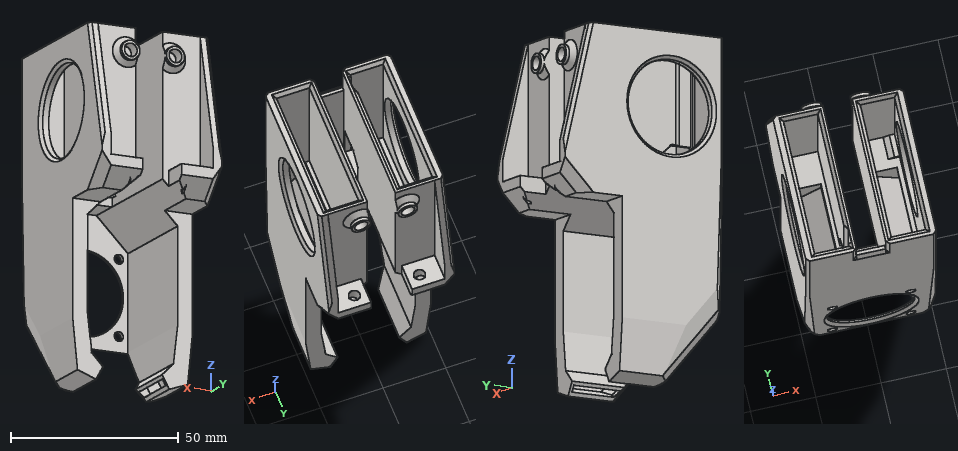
import cadquery as cq
import math


half_width = 20.0
body_depth = 55.0
body_height = 107.33
top_depth = 46.2
lean_end = 36.4
belly_bottom = 52.0
belly_chamfer = 5.6
lower_depth = 35.2
front_wall = 2.2

edge_chamfer = 1.0
belly_side_chamfer = 3.0
corner_taper_start = 38.3
corner_taper_end = 82.0
corner_taper_chamfer = 2.5

slope_start = 85.6
slope_angle = 49.0
slope_flank_depth = 7.6
slope_chamfer_depth = 2.6
slope_flank_half = 18.5
slope_flat_half = 15.8

slot_half = 4.5
channel_inner = 6.5
channel_outer = 17.0
channel_back = 44.2
channel_floor = 43.0
rim_chamfer = 1.1

notch_depth = 8.8
notch_chamfer = 1.1
web_back = 12.2
web_thickness = 2.8

side_hole_diameter = 29.0
left_hole_y = 18.1
right_hole_y = 27.5
side_hole_depth = 22.8
fan_hole_diameter = 27.0
fan_hole_depth = 70.4
hole_chamfer = 1.0
fan_screw_diameter = 2.9
fan_screw_spacing = 24.0

plenum_half = 15.0
plenum_front_wall = 1.7
duct_wall = 1.5
duct_inner_wall = 1.2
duct_back_wall = 1.0
duct_entry_inner = 7.8
duct_entry_outer = 15.5
duct_entry_lip = 1.0
duct_ramp_start = 47.0
finger_taper_start = 89.1
finger_outer = (18.4, 105.1)
finger_tip = (12.2, body_height)
finger_nose = (9.8, 103.1)
finger_knee = (13.6, 99.2)
finger_inner_start = 87.0
outlet_start = 0.25
outlet_end = 0.7
tip_bevel_start = 13.9
tip_bevel_end = 9.0
tip_bevel_rise = 1.76
tip_bevel_from = 15.0

recess_depth = 1.0
recess_front = 3.0
recess_flat_end = 7.1
recess_end = 8.9
window_top = 31.1
window_top_back = 10.1
window_back = 14.2
window_side_top = 34.8

pad_start = 13.5
pad_flat_start = 15.4
pad_height = 0.95
pad_front = 37.2

ear_inner = 6.5
ear_hole_diameter = 3.5
ear_hole_x = 10.4
ear_hole_y = 51.0
ear_hole_top_to_seat = 2.0
ear_seat_edge = 9.3
ear_seat_slope = 0.5
boss_diameter = 6.0
boss_hole_diameter = 4.2
boss_x = 7.45
boss_depth = 7.9
boss_length = 2.8
boss_hole_length = 4.0
boss_flare = 1.7

far = 200.0


def side_prism(points, x_start, x_end):
    """Prism along X from (y, depth) points."""
    outline = [(y, -depth) for y, depth in points]
    return cq.Workplane("YZ", origin=(x_start, 0, 0)).polyline(outline).close().extrude(x_end - x_start)


def front_prism(points, y_start, y_end):
    """Prism along Y from (x, depth) points."""
    outline = [(x, -depth) for x, depth in points]
    return cq.Workplane("XZ", origin=(0, y_start, 0)).polyline(outline).close().extrude(y_start - y_end)


def box(x_range, y_range, depth_range):
    x_size = x_range[1] - x_range[0]
    y_size = y_range[1] - y_range[0]
    z_size = depth_range[1] - depth_range[0]
    corner = (x_range[0], y_range[0], -depth_range[1])
    return cq.Workplane("XY", origin=corner).box(x_size, y_size, z_size, centered=False)


def cylinder(plane, origin, diameter, length):
    return cq.Workplane(plane, origin=origin).circle(diameter / 2).extrude(length)


def both_sides(right_half):
    return right_half.union(right_half.mirror("YZ"))


def face_plane(y, depth, out_y, out_z):
    """Plane across a sloped face: local x is X and local y is the outward direction (out_y, out_z)."""
    return cq.Plane(origin=(0, y, -depth), xDir=(1, 0, 0), normal=(0, -out_z, out_y))


def bevelled_slab(plane, half_profile):
    """Long bar along a sloped face; half_profile lists (x, height) from the flank to the face."""
    right = [(half_profile[0][0], -far)] + half_profile
    left = [(-x, height) for x, height in reversed(right)]
    return cq.Workplane(plane).polyline(right + left).close().extrude(far, both=True)


slope_rad = math.radians(slope_angle)
slope_plane = face_plane(0, slope_start, -math.sin(slope_rad), -math.cos(slope_rad))
slope_profile = [
    (half_width, -slope_flank_depth),
    (slope_flank_half, -slope_chamfer_depth),
    (slope_flat_half, 0),
]


def edge_profile(chamfer):
    return [(half_width, -chamfer), (half_width - chamfer, 0)]


def upper_body():
    """Deep upper section, chamfered along its leaning back edges and its rear belly edge."""
    belly_edge = body_depth - belly_chamfer
    outline = [
        (0, 0),
        (top_depth, 0),
        (body_depth, lean_end),
        (body_depth, belly_bottom - belly_chamfer),
        (belly_edge, belly_bottom),
        (0, belly_bottom),
    ]
    lean = face_plane(top_depth, 0, lean_end, body_depth - top_depth)
    belly = face_plane(belly_edge, belly_bottom, 1, -1)
    body = side_prism(outline, -half_width, half_width)
    body = body.intersect(bevelled_slab(lean, edge_profile(edge_chamfer)))
    return body.intersect(bevelled_slab(belly, edge_profile(belly_side_chamfer)))


def lower_body():
    """Lower section with tapering fingers and a bevelled, sloped underside."""
    right = [
        (half_width, belly_bottom),
        (half_width, finger_taper_start),
        finger_outer,
        finger_tip,
    ]
    left = [(-x, depth) for x, depth in reversed(right)]
    body = front_prism(right + left, 0, lower_depth)
    return body.intersect(bevelled_slab(slope_plane, slope_profile))


def corner_triangle(depth, chamfer):
    corner = [(half_width, 0), (half_width - chamfer, 0), (half_width, chamfer)]
    points = [cq.Vector(x, y, -depth) for x, y in corner]
    return cq.Wire.makePolygon(points + points[:1])


def front_corner_cuts():
    """Constant chamfer on the upper front corners, widening towards the bottom."""
    widening = (corner_taper_chamfer - edge_chamfer) / (corner_taper_end - corner_taper_start)
    bottom_chamfer = edge_chamfer + widening * (body_height - corner_taper_start)
    top = corner_triangle(0, edge_chamfer)
    middle = corner_triangle(corner_taper_start, edge_chamfer)
    bottom = corner_triangle(body_height, bottom_chamfer)
    upper_cut = cq.Workplane(cq.Solid.makeLoft([top, middle], True))
    lower_cut = cq.Workplane(cq.Solid.makeLoft([middle, bottom], True))
    return both_sides(upper_cut.union(lower_cut))


def plenum():
    """Open space behind the fan hole, between the side ducts and fingers; its roof follows the ramps."""
    roof_edge = channel_floor + web_thickness
    right = [
        (slot_half, roof_edge),
        (plenum_half, roof_edge + plenum_half - slot_half),
        (plenum_half, finger_inner_start),
        finger_knee,
        finger_nose,
        finger_tip,
    ]
    left = [(-x, depth) for x, depth in reversed(right)]
    return front_prism(right + left, plenum_front_wall, body_depth)


def centre_slot():
    """Slot between the channels, leaving the front wall, its notch and the web."""
    slot = box((-slot_half, slot_half), (front_wall, body_depth), (0, channel_floor))
    slot = slot.union(box((-slot_half, slot_half), (web_back, body_depth), (0, belly_bottom)))
    ear_gap = box((-ear_inner, ear_inner), (top_depth, body_depth), (0, belly_bottom))
    notch = box((-slot_half, slot_half), (0, front_wall), (0, notch_depth))
    flare_half = slot_half + notch_chamfer
    floor_outline = [
        (0, notch_depth),
        (notch_chamfer, notch_depth),
        (0, notch_depth + notch_chamfer),
    ]
    side_flare = (
        cq.Workplane("XY")
        .polyline([(slot_half, 0), (flare_half, 0), (slot_half, notch_chamfer)])
        .close()
        .extrude(-notch_depth - notch_chamfer)
    )
    floor_flare = side_prism(floor_outline, -slot_half, slot_half)
    return slot.union(ear_gap).union(notch).union(both_sides(side_flare)).union(floor_flare)


def channels():
    cavity = box((channel_inner, channel_outer), (front_wall, channel_back), (0, channel_floor))
    rim = (
        cq.Workplane("XY")
        .center((channel_inner + channel_outer) / 2, (front_wall + channel_back) / 2)
        .rect(channel_outer - channel_inner + 2 * rim_chamfer, channel_back - front_wall + 2 * rim_chamfer)
        .workplane(offset=-rim_chamfer)
        .rect(channel_outer - channel_inner, channel_back - front_wall)
        .loft(ruled=True)
    )
    return both_sides(cavity.union(rim))


def between(start, end, fraction):
    return tuple(a + (b - a) * fraction for a, b in zip(start, end))


def ducts():
    """Air path from each channel floor, down a 45 degree ramp beside the plenum, to the finger outlet."""
    inner = plenum_half + duct_inner_wall
    outer = half_width - duct_wall
    lip = channel_floor + duct_entry_lip
    outline = [
        (duct_entry_inner, channel_floor),
        (duct_entry_outer, channel_floor),
        (duct_entry_outer, lip),
        (outer, lip + outer - duct_entry_outer),
        (outer, finger_taper_start),
        (finger_outer[0] - duct_wall, finger_outer[1] - duct_wall),
        between(finger_nose, finger_tip, outlet_end),
        between(finger_nose, finger_tip, outlet_start),
        (finger_knee[0] + duct_inner_wall, finger_knee[1] + duct_inner_wall),
        (inner, finger_inner_start),
        (inner, duct_ramp_start + inner - duct_entry_inner),
        (duct_entry_inner, duct_ramp_start),
    ]
    duct = front_prism(outline, front_wall, lower_depth - duct_back_wall)
    inner_slope = [(x - duct_wall, height - duct_wall) for x, height in slope_profile]
    return both_sides(duct.intersect(bevelled_slab(slope_plane, inner_slope)))


def finger_tip_bevels():
    wedge = [(tip_bevel_start, 0), (tip_bevel_end, 0), (tip_bevel_end, -tip_bevel_rise)]
    cut = (
        cq.Workplane(slope_plane)
        .workplane(offset=tip_bevel_from)
        .polyline(wedge)
        .close()
        .extrude(body_depth)
    )
    return both_sides(cut)


def chamfered_hole(plane, origin, diameter, depth):
    """Round opening with a flared outer edge; depth runs along the plane normal."""
    direction = math.copysign(hole_chamfer, depth)
    flare = (
        cq.Workplane(plane, origin=origin)
        .circle(diameter / 2 + hole_chamfer)
        .workplane(offset=direction)
        .circle(diameter / 2)
        .loft()
    )
    return flare.union(cylinder(plane, origin, diameter, depth))


def side_holes():
    """Blower inlets through the outer walls, set nearer the front on the left than on the right."""
    wall = half_width - channel_outer
    left_centre = (-half_width, left_hole_y, -side_hole_depth)
    right_centre = (half_width, right_hole_y, -side_hole_depth)
    left = chamfered_hole("YZ", left_centre, side_hole_diameter, wall)
    return left.union(chamfered_hole("YZ", right_centre, side_hole_diameter, -wall))


def fan_mount():
    holes = chamfered_hole("XZ", (0, 0, -fan_hole_depth), fan_hole_diameter, -front_wall)
    screws = (
        cq.Workplane("XZ", origin=(0, 0, -fan_hole_depth))
        .rect(fan_screw_spacing, fan_screw_spacing, forConstruction=True)
        .vertices()
        .circle(fan_screw_diameter / 2)
        .extrude(-front_wall)
    )
    return holes.union(screws)


def cable_recess():
    """Recess in the channel side of the left inner wall, ending in a window into the centre slot."""
    bottom = -channel_inner + recess_depth
    recess = (
        cq.Workplane("XY")
        .polyline([
            (-channel_inner, recess_front),
            (bottom, recess_front),
            (bottom, recess_flat_end),
            (-channel_inner, recess_end),
        ])
        .close()
        .extrude(-window_top)
    )
    window = side_prism(
        [
            (recess_front, window_top),
            (window_top_back, window_top),
            (window_back, window_side_top),
            (window_back, channel_floor),
            (recess_front, channel_floor),
        ],
        -channel_inner,
        -slot_half,
    )
    return recess.union(window)


def floor_pad():
    outline = [
        (pad_start, channel_floor),
        (pad_flat_start, channel_floor - pad_height),
        (channel_outer, channel_floor - pad_height),
        (channel_outer, channel_floor),
    ]
    return front_prism(outline, pad_front, channel_back)


def rear_pocket():
    return box((-channel_outer, channel_outer), (top_depth, body_depth), (0, channel_floor))


def ear_holes():
    """Screw holes in the ears, each closed below by a sloped seat on its outer side."""
    top = (ear_hole_x, ear_hole_y, -channel_floor)
    bore = cylinder("XY", top, ear_hole_diameter, channel_floor - belly_bottom)
    outer = ear_hole_x + ear_hole_diameter
    seat_rise = (outer - ear_seat_edge) * ear_seat_slope
    seat_depth = channel_floor + ear_hole_top_to_seat + seat_rise
    seat = front_prism(
        [
            (ear_seat_edge, seat_depth),
            (outer, seat_depth - seat_rise),
            (outer, belly_bottom),
            (ear_seat_edge, belly_bottom),
        ],
        ear_hole_y - ear_hole_diameter,
        ear_hole_y + ear_hole_diameter,
    )
    return both_sides(bore.cut(seat))


def screw_bosses():
    """Flared bosses on the rear wall, trimmed flush with the centre slot."""
    centre = (boss_x, top_depth, -boss_depth)
    boss = cylinder("XZ", centre, boss_diameter, -boss_length)
    flare = (
        cq.Workplane("XZ", origin=centre)
        .circle(boss_diameter / 2 + boss_flare)
        .workplane(offset=-boss_flare)
        .circle(boss_diameter / 2)
        .loft()
    )
    trim = box((slot_half, channel_outer), (top_depth, body_depth), (0, channel_floor))
    return both_sides(boss.union(flare).intersect(trim))


def boss_holes():
    start = (boss_x, top_depth + boss_length, -boss_depth)
    return both_sides(cylinder("XZ", start, boss_hole_diameter, boss_hole_length))


result = upper_body().union(lower_body())
result = result.cut(front_corner_cuts()).cut(finger_tip_bevels())
result = result.cut(plenum()).cut(centre_slot()).cut(channels()).cut(ducts())
result = result.cut(side_holes()).cut(fan_mount()).cut(cable_recess())
result = result.cut(rear_pocket()).cut(ear_holes())
result = result.union(floor_pad()).union(screw_bosses()).cut(boss_holes())
result = cq.Workplane(result.solids().val())